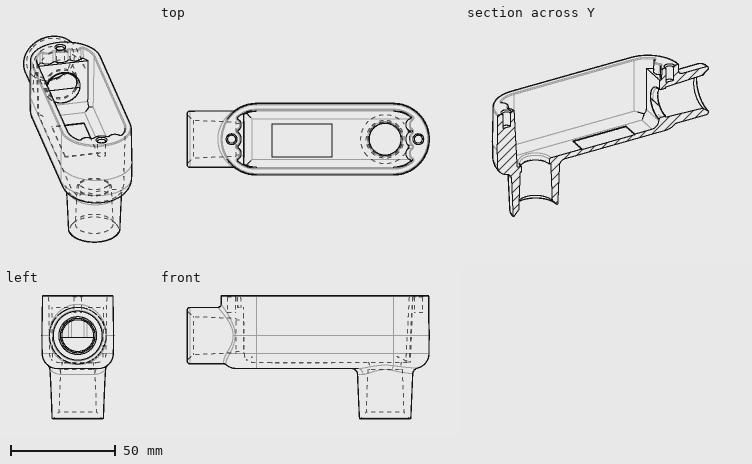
import cadquery as cq
import math

LENGTH = 115.6
HEIGHT = 58.7
BODY_WIDTH = 34.3
PARTING_Z = -19.1
BODY_BOTTOM_Z = -34.8
DRAFT = 1.0
BODY_BOTTOM_FILLET = 7.3
RIM_FILLET = 0.5

BODY_RADIUS = BODY_WIDTH / 2
END_SPACING = 65.3
RIGHT_END_X = LENGTH - BODY_RADIUS
LEFT_END_X = RIGHT_END_X - END_SPACING
BODY_MID_X = (LEFT_END_X + RIGHT_END_X) / 2

EDGE_MARGIN = 0.1

CAVITY_RADIUS = 13.9
FLOOR_Z = -31.8
FLOOR_FILLET = 3.7
SPOUT_WALL_X = 26.8
SHELF_Z = -5.8

SCREW_SPACING = 89.0
SCREW_HOLE_DIAMETER = 3.8
SCREW_CHAMFER = 0.7
SCREW_DEPTH = 8.1
LEFT_SCREW_X = BODY_MID_X - SCREW_SPACING / 2
MID_LOBE_RADIUS = 4.3
SIDE_LOBE_RADIUS = 3.1
SIDE_LOBE_Y = 6.8
GROOVE_RADIUS = 0.8
CORNER_RADIUS = 0.7
LOBE_DRAFT = 3.0

SPOUT_DIAMETER = 26.9
SPOUT_LIP_FILLET = 1.4
SPOUT_JOINT_FILLET = 1.5
DOWN_SPOUT_X = 94.4
DOWN_SPOUT_TIP_DIAMETER = 24.6
DOWN_SPOUT_ROOT_DIAMETER = 26.9
DOWN_SPOUT_LIP_FILLET = 0.5
DOWN_JOINT_FILLET = 2.9

PASSAGE_LENGTH = HEIGHT + FLOOR_Z
PASSAGE_OVERRUN = 0.2
MOUTH_DIAMETER = 23.3
BORE_DIAMETER = 18.0
BORE_END_DIAMETER = 16.4
THROAT_DIAMETER = 15.1
MOUTH_CHAMFER_DEPTH = 3.1
THROAT_LENGTH = 3.5
THROAT_ROUNDING = 0.8

PANEL_LENGTH = 28.8
PANEL_WIDTH = 15.7
PANEL_X = 54.8
PANEL_Y = -0.6
PANEL_DEPTH = 0.3


def body_half(height):
    """Slot-shaped block that tapers away from the parting plane."""
    parting = cq.Workplane("XY", origin=(BODY_MID_X, 0, PARTING_Z))
    return parting.slot2D(END_SPACING + BODY_WIDTH, BODY_WIDTH).extrude(height, taper=DRAFT)


def side_spout():
    spout = cq.Workplane("YZ", origin=(0, 0, PARTING_Z)).circle(SPOUT_DIAMETER / 2).extrude(LEFT_END_X)
    spout = spout.rotate((0, 0, PARTING_Z), (1, 0, PARTING_Z), 180)
    return spout.faces("<X").edges().fillet(SPOUT_LIP_FILLET)


def down_spout():
    tip_radius = DOWN_SPOUT_TIP_DIAMETER / 2
    root_radius = DOWN_SPOUT_ROOT_DIAMETER / 2
    spout = (
        cq.Workplane("XZ", origin=(DOWN_SPOUT_X, 0, 0))
        .polyline([(0, -HEIGHT), (tip_radius, -HEIGHT), (root_radius, FLOOR_Z), (0, FLOOR_Z)])
        .close()
        .revolve(360, (0, 0), (0, 1))
    )
    return spout.faces("<Z").edges().fillet(DOWN_SPOUT_LIP_FILLET)


def fillet_side_joint(body):
    """Round the curve where the side spout meets the end of the body."""
    joint_box = cq.selectors.BoxSelector(
        (SPOUT_LIP_FILLET, -LEFT_END_X, BODY_BOTTOM_Z),
        (LEFT_END_X, LEFT_END_X, -EDGE_MARGIN),
        boundingbox=True,
    )
    return body.edges(joint_box).edges("%BSPLINE").fillet(SPOUT_JOINT_FILLET)


def fillet_down_joint(body):
    """Round the curve where the downward spout meets the underside."""
    reach = DOWN_SPOUT_ROOT_DIAMETER / 2 + EDGE_MARGIN
    joint_box = cq.selectors.BoxSelector(
        (DOWN_SPOUT_X - reach, -reach, BODY_BOTTOM_Z - EDGE_MARGIN),
        (DOWN_SPOUT_X + reach, reach, BODY_BOTTOM_Z + 1.2),
        boundingbox=True,
    )
    return body.edges(joint_box).fillet(DOWN_JOINT_FILLET)


def outside():
    upper = body_half(-PARTING_Z)
    lower = body_half(BODY_BOTTOM_Z - PARTING_Z)
    lower = lower.faces("<Z").edges().fillet(BODY_BOTTOM_FILLET)
    body = fillet_side_joint(upper.union(lower).union(side_spout()))
    body = fillet_down_joint(body.union(down_spout()))
    return body.faces(">Z").edges().fillet(RIM_FILLET)


def circle_crossing(center_a, radius_a, center_b, radius_b):
    """Crossing point of two circles that lies to the right when going from A to B."""
    dx = center_b[0] - center_a[0]
    dy = center_b[1] - center_a[1]
    distance = math.hypot(dx, dy)
    along = (radius_a**2 - radius_b**2 + distance**2) / (2 * distance)
    aside = math.sqrt(radius_a**2 - along**2)
    return (
        center_a[0] + (along * dx + aside * dy) / distance,
        center_a[1] + (along * dy - aside * dx) / distance,
    )


def toward(start, target, length):
    """Point at a given distance from start in the direction of target."""
    fraction = length / math.dist(start, target)
    return (start[0] + fraction * (target[0] - start[0]), start[1] + fraction * (target[1] - start[1]))


def arc_middle(center, start, end):
    """Middle of the shorter arc from start to end."""
    chord_middle = ((start[0] + end[0]) / 2, (start[1] + end[1]) / 2)
    return toward(center, chord_middle, math.dist(center, start))


def mirrored_y(point):
    return (point[0], -point[1])


def opposite(point):
    """Point turned half a turn about the middle of the body."""
    return (2 * BODY_MID_X - point[0], -point[1])


def left_end_arcs(end_radius, screw_x):
    """(middle, end) of each arc of the left cavity end, from its +Y corner to its -Y corner.

    The lobes and the grooves between them are tangent to each other and to the end arc.
    """
    end_center = (LEFT_END_X, 0)
    mid_lobe = (screw_x, 0)
    side_lobe = (screw_x + MID_LOBE_RADIUS - SIDE_LOBE_RADIUS, SIDE_LOBE_Y)
    groove = circle_crossing(
        mid_lobe, MID_LOBE_RADIUS + GROOVE_RADIUS, side_lobe, SIDE_LOBE_RADIUS + GROOVE_RADIUS
    )
    corner = circle_crossing(
        end_center, end_radius - CORNER_RADIUS, side_lobe, SIDE_LOBE_RADIUS + CORNER_RADIUS
    )
    centers = [end_center, corner, side_lobe, groove]
    joints = [
        (LEFT_END_X, end_radius),
        toward(end_center, corner, end_radius),
        toward(side_lobe, corner, SIDE_LOBE_RADIUS),
        toward(side_lobe, groove, SIDE_LOBE_RADIUS),
        toward(mid_lobe, groove, MID_LOBE_RADIUS),
    ]
    upper_arcs = [
        (arc_middle(center, start, end), end)
        for center, start, end in zip(centers, joints, joints[1:])
    ]
    mid_arc = ((screw_x + MID_LOBE_RADIUS, 0), mirrored_y(joints[-1]))
    lower_arcs = [
        (mirrored_y(middle), mirrored_y(start))
        for (middle, _), start in zip(upper_arcs, joints)
    ]
    return upper_arcs + [mid_arc] + lower_arcs[::-1]


def draw_cavity_outline(sketch, depth):
    """Add the slot outline with scalloped ends, narrowed by the draft at a depth below the rim."""
    end_radius = CAVITY_RADIUS - depth * math.tan(math.radians(DRAFT))
    screw_x = LEFT_SCREW_X + depth * math.tan(math.radians(LOBE_DRAFT))
    arcs = left_end_arcs(end_radius, screw_x)
    left_corner = (LEFT_END_X, end_radius)
    outline = sketch.moveTo(*left_corner)
    for middle, end in arcs:
        outline = outline.threePointArc(middle, end)
    outline = outline.lineTo(*opposite(left_corner))
    for middle, end in arcs:
        outline = outline.threePointArc(opposite(middle), opposite(end))
    return outline.close()


def cavity():
    outline = draw_cavity_outline(cq.Workplane("XY"), 0).workplane(offset=FLOOR_Z)
    pocket = draw_cavity_outline(outline, -FLOOR_Z).loft(ruled=True)
    trough_length = LENGTH - SPOUT_WALL_X
    trough = (
        cq.Workplane("XY", origin=(SPOUT_WALL_X + trough_length / 2, 0, 0))
        .rect(trough_length, 2 * CAVITY_RADIUS)
        .extrude(FLOOR_Z, taper=DRAFT)
    )
    trough = trough.faces("<Z").edges("|X or <X").fillet(FLOOR_FILLET)
    above_shelf = cq.Workplane("XY").box(2 * LENGTH, BODY_WIDTH, -SHELF_Z, centered=(True, True, False))
    above_shelf = above_shelf.translate((0, 0, SHELF_Z))
    return pocket.intersect(trough.union(above_shelf))


def round_cavity_rim(body):
    """Round the inner edge of the rim."""
    reach = CAVITY_RADIUS + EDGE_MARGIN
    rim_box = cq.selectors.BoxSelector(
        (LEFT_END_X - reach, -reach, -EDGE_MARGIN),
        (RIGHT_END_X + reach, reach, EDGE_MARGIN),
        boundingbox=True,
    )
    return body.faces(">Z").edges(rim_box).fillet(RIM_FILLET)


def passage():
    """Cutter along +Z from the mouth of a spout to the inner wall, with a rounded throat edge."""
    throat_radius = THROAT_DIAMETER / 2
    throat_start = PASSAGE_LENGTH - THROAT_LENGTH
    flare_radius = throat_radius + THROAT_ROUNDING
    flare_middle = THROAT_ROUNDING * (1 - math.sqrt(0.5))
    profile = (
        cq.Workplane("XZ")
        .lineTo(MOUTH_DIAMETER / 2, 0)
        .lineTo(BORE_DIAMETER / 2, MOUTH_CHAMFER_DEPTH)
        .lineTo(BORE_END_DIAMETER / 2, throat_start)
        .lineTo(throat_radius, throat_start)
        .lineTo(throat_radius, PASSAGE_LENGTH - THROAT_ROUNDING)
        .threePointArc(
            (throat_radius + flare_middle, PASSAGE_LENGTH - flare_middle),
            (flare_radius, PASSAGE_LENGTH),
        )
        .lineTo(flare_radius, PASSAGE_LENGTH + PASSAGE_OVERRUN)
        .lineTo(0, PASSAGE_LENGTH + PASSAGE_OVERRUN)
        .close()
    )
    return profile.revolve(360, (0, 0), (0, 1))


def screw_hole(x):
    radius = SCREW_HOLE_DIAMETER / 2
    top = cq.Workplane("XY", origin=(x, 0, 0))
    hole = top.circle(radius).extrude(-SCREW_DEPTH)
    countersink = (
        cq.Workplane("XY", origin=(x, 0, 0))
        .circle(radius + SCREW_CHAMFER)
        .extrude(-SCREW_CHAMFER, taper=45)
    )
    return hole.union(countersink)


def label_panel():
    panel = cq.Workplane("XY", origin=(PANEL_X, PANEL_Y, FLOOR_Z))
    return panel.rect(PANEL_LENGTH, PANEL_WIDTH).extrude(-PANEL_DEPTH)


result = round_cavity_rim(outside().cut(cavity()))
result = result.cut(passage().rotate((0, 0, 0), (0, 1, 0), 90).translate((0, 0, PARTING_Z)))
result = result.cut(passage().translate((DOWN_SPOUT_X, 0, -HEIGHT)))
for side in (-1, 1):
    result = result.cut(screw_hole(BODY_MID_X + side * SCREW_SPACING / 2))
result = result.cut(label_panel())